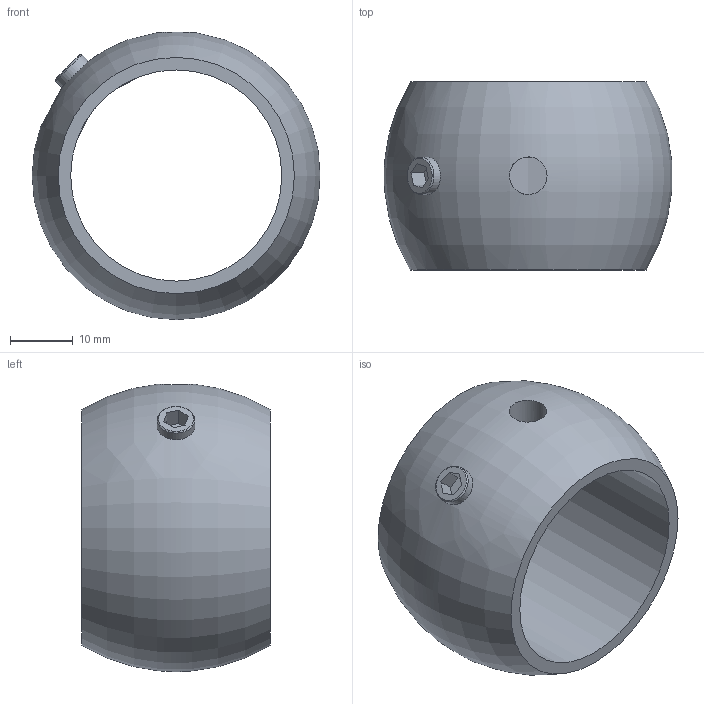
import cadquery as cq
import math

ring_width = 30.0
ring_diameter = 46.0
face_diameter = 37.7
bore_diameter = 33.7

top_hole_diameter = 6.0

screw_angle = 45.0
screw_diameter = 6.0
screw_chamfer = 0.2
screw_head_radius = 24.5
screw_length = 7.0
socket_sides = 6
socket_across_flats = 3.5
socket_depth = 3.0
socket_turn = 47.0

half_width = ring_width / 2
outer_radius = ring_diameter / 2
face_radius = face_diameter / 2
bore_radius = bore_diameter / 2
socket_across_corners = socket_across_flats / math.cos(math.pi / socket_sides)


def tilt_to_screw_axis(body):
    """Swing a body built along +Z about the ring axis onto the screw axis."""
    return body.rotate((0, 0, 0), (0, 1, 0), -screw_angle)


def radial_cylinder(diameter, start, length):
    """Cylinder along +Z that starts at a given distance from the ring axis."""
    return cq.Workplane("XY").workplane(offset=start).circle(diameter / 2).extrude(length)


def make_set_screw():
    screw = radial_cylinder(screw_diameter, screw_head_radius - screw_length, screw_length)
    screw = screw.faces(">Z").chamfer(screw_chamfer)
    socket = (
        cq.Workplane("XY")
        .workplane(offset=screw_head_radius - socket_depth)
        .polygon(socket_sides, socket_across_corners)
        .extrude(socket_depth)
        .rotate((0, 0, 0), (0, 0, 1), socket_turn)
    )
    return tilt_to_screw_axis(screw.cut(socket))


def make_ring():
    ring = (
        cq.Workplane("XY")
        .moveTo(bore_radius, -half_width)
        .lineTo(face_radius, -half_width)
        .threePointArc((outer_radius, 0), (face_radius, half_width))
        .lineTo(bore_radius, half_width)
        .close()
        .revolve(360, (0, 0, 0), (0, 1, 0))
    )
    top_hole = radial_cylinder(top_hole_diameter, 0, ring_diameter)
    screw_hole = tilt_to_screw_axis(radial_cylinder(screw_diameter, 0, ring_diameter))
    return ring.cut(top_hole).cut(screw_hole)


ring = make_ring()
set_screw = make_set_screw()

result = cq.Compound.makeCompound([ring.val(), set_screw.val()])